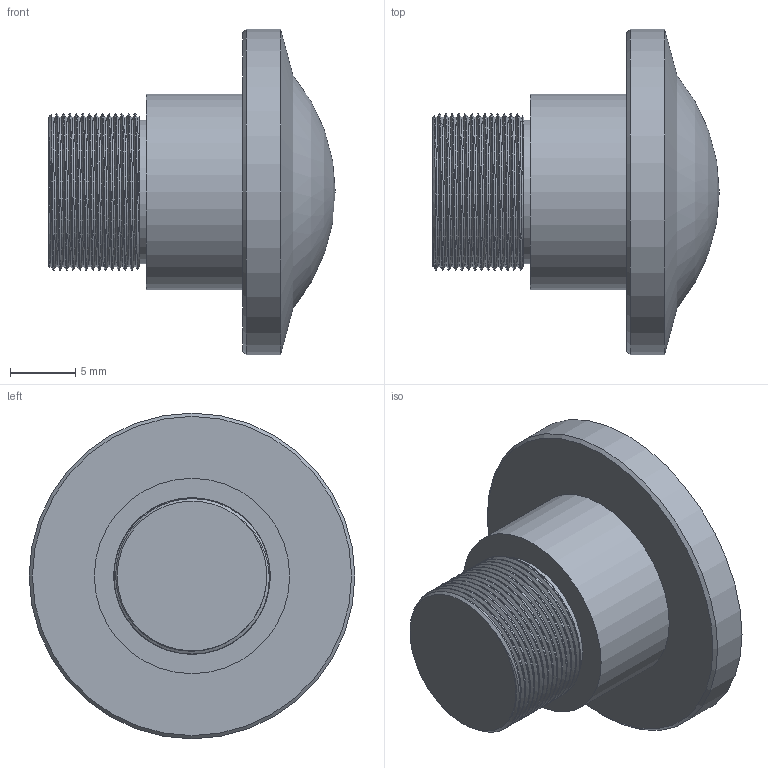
import cadquery as cq
import math

thread_length = 7.0
shoulder_start = 7.5
flange_start = 14.9
flange_rim_end = 17.8
overall_length = 22.0

neck_radius = 5.5
shoulder_radius = 7.5
flange_radius = 12.5
flange_chamfer = 0.25

cone_end = 18.75
cone_angle = 15.0
cone_end_radius = flange_radius - (cone_end - flange_rim_end) / math.tan(math.radians(cone_angle))
cap_height = overall_length - cone_end
cap_sphere_radius = (cone_end_radius**2 + cap_height**2) / (2 * cap_height)

thread_pitch = 0.5
thread_major_radius = 6.0
thread_depth = 0.25
thread_root_radius = thread_major_radius - thread_depth
thread_half_angle = 30.0
crest_width = thread_pitch / 8
ridge_embed = 0.05


def make_body():
    """Revolved core, neck, shoulder, flange and domed end."""
    mid_drop = cap_sphere_radius - math.sqrt(cap_sphere_radius**2 - (cone_end_radius / 2) ** 2)
    cap_mid = (overall_length - mid_drop, cone_end_radius / 2)
    profile = (
        cq.Workplane("XZ")
        .moveTo(0, 0)
        .lineTo(0, thread_root_radius)
        .lineTo(thread_length, thread_root_radius)
        .lineTo(thread_length, neck_radius)
        .lineTo(shoulder_start, neck_radius)
        .lineTo(shoulder_start, shoulder_radius)
        .lineTo(flange_start, shoulder_radius)
        .lineTo(flange_start, flange_radius - flange_chamfer)
        .lineTo(flange_start + flange_chamfer, flange_radius)
        .lineTo(flange_rim_end, flange_radius)
        .lineTo(cone_end, cone_end_radius)
        .threePointArc(cap_mid, (overall_length, 0))
        .close()
    )
    return profile.revolve(360, (0, 0, 0), (1, 0, 0))


def make_thread_envelope():
    """Double cone that trims both thread ends at 45 degrees."""
    half_length = thread_length / 2
    return (
        cq.Workplane("XZ")
        .moveTo(0, 0)
        .lineTo(0, thread_root_radius)
        .lineTo(half_length, thread_root_radius + half_length)
        .lineTo(thread_length, thread_root_radius)
        .lineTo(thread_length, 0)
        .close()
        .revolve(360, (0, 0, 0), (1, 0, 0))
    )


def make_thread():
    """Helical ridge, run one pitch past each end and trimmed to the envelope."""
    base_radius = thread_root_radius - ridge_embed
    flank_spread = (thread_major_radius - base_radius) * math.tan(math.radians(thread_half_angle))
    crest_half = crest_width / 2
    base_half = crest_half + flank_spread
    helix = cq.Wire.makeHelix(thread_pitch, thread_length + 2 * thread_pitch, base_radius)
    ridge = (
        cq.Workplane("XZ")
        .moveTo(base_radius, -base_half)
        .lineTo(thread_major_radius, -crest_half)
        .lineTo(thread_major_radius, crest_half)
        .lineTo(base_radius, base_half)
        .close()
        .sweep(cq.Workplane(helix), isFrenet=True)
    )
    ridge = (
        ridge.rotate((0, 0, 0), (0, 1, 0), 90)
        .rotate((0, 0, 0), (1, 0, 0), 90)
        .translate((-thread_pitch, 0, 0))
    )
    return ridge.intersect(make_thread_envelope())


result = make_body().union(make_thread())